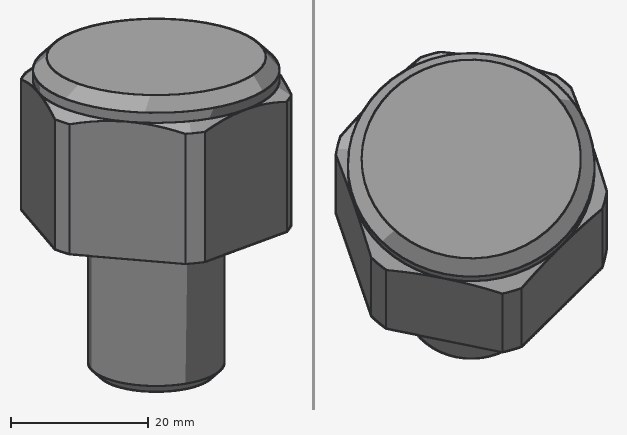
import cadquery as cq
import math

total_height = 49.0
across_flats = 36.0
corner_diameter = 40.0

shank_diameter = 20.0
shank_length = 24.0
tip_chamfer = 1.45

cap_chamfer = 2.0
cap_height = 3.6
corner_slope_degrees = 30.0

cap_radius = across_flats / 2
corner_radius = corner_diameter / 2
shank_radius = shank_diameter / 2
cap_base_z = total_height - cap_height
corner_drop = (corner_radius - cap_radius) * math.tan(math.radians(corner_slope_degrees))


def make_turned_body():
    """Revolve the shank, the rounded head corners, their sloped tops and the cap."""
    profile = [
        (0, 0),
        (shank_radius - tip_chamfer, 0),
        (shank_radius, tip_chamfer),
        (shank_radius, shank_length),
        (corner_radius, shank_length),
        (corner_radius, cap_base_z - corner_drop),
        (cap_radius, cap_base_z),
        (cap_radius, total_height - cap_chamfer),
        (cap_radius - cap_chamfer, total_height),
        (0, total_height),
    ]
    return cq.Workplane("XZ").polyline(profile).close().revolve(360, (0, 0), (0, 1))


def make_hexagonal_envelope():
    """Full-height hexagonal prism with two flats facing along X."""
    sharp_corner_diameter = across_flats / math.cos(math.radians(30))
    prism = cq.Workplane("XY").polygon(6, sharp_corner_diameter).extrude(total_height)
    return prism.rotate((0, 0, 0), (0, 0, 1), 90)


result = make_turned_body().intersect(make_hexagonal_envelope())